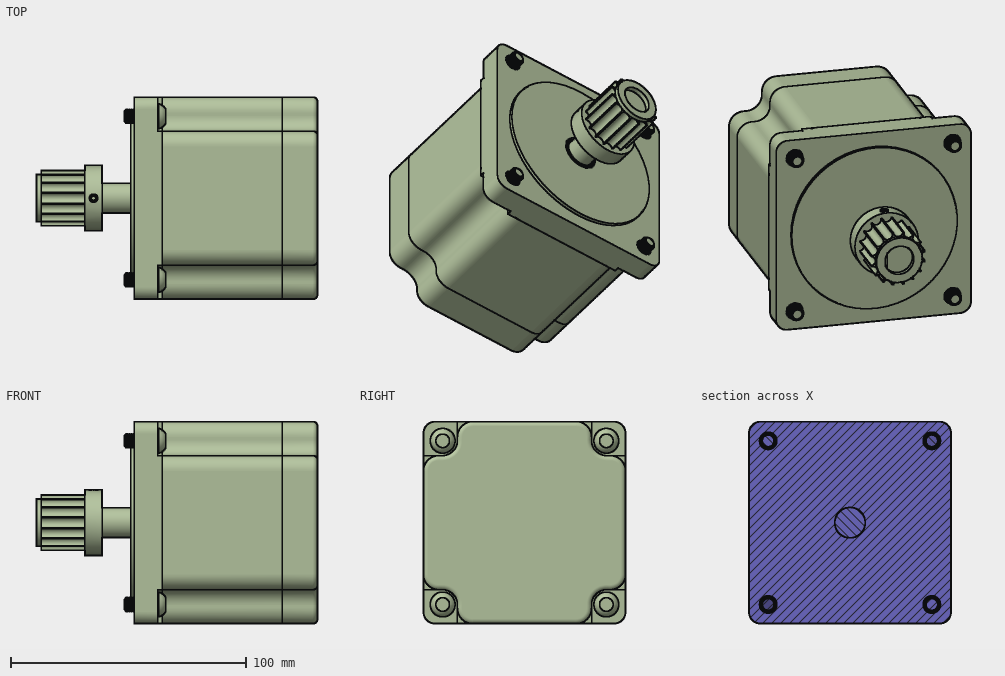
import cadquery as cq
import math


FRAME_WIDTH = 86.0
HALF_WIDTH = FRAME_WIDTH / 2
CORNER_RELIEF_RADIUS = 6.5
RELIEF_CENTRE = 35.0
RELIEF_INNER = RELIEF_CENTRE - CORNER_RELIEF_RADIUS
SHOULDER_RADIUS = 6.5
SHOULDER_END = HALF_WIDTH - SHOULDER_RADIUS
SHOULDER_START = RELIEF_INNER - SHOULDER_RADIUS

FLANGE_THICKNESS = 10.0
FLANGE_LIP = 2.0
FLANGE_BACK = FLANGE_THICKNESS + FLANGE_LIP
FLANGE_CORNER_RADIUS = 5.0
PILOT_DIAMETER = 73.0
PILOT_HEIGHT = 1.5
SHAFT_GROOVE_INNER_DIAMETER = 13.8
SHAFT_GROOVE_OUTER_DIAMETER = 15.5
SCREW_SPACING = 69.6
SCREW_HOLE_DIAMETER = 7.2

CAP_FRONT = 63.0
CAP_BACK = 78.0
CAP_FILLET = 2.0

SHAFT_DIAMETER = 12.7
SHAFT_TIP_RECESS = 2.3
SHAFT_FLAT_DISTANCE = 4.85
SHAFT_FLAT_LENGTH = 25.0

PULLEY_TIP = -41.6
PULLEY_LENGTH = 28.0
PULLEY_BACK = PULLEY_TIP + PULLEY_LENGTH
NOSE_DIAMETER = 20.2
NOSE_LENGTH = 2.0
HUB_DIAMETER = 28.0
HUB_LENGTH = 7.4
TOOTH_COUNT = 16
TOOTH_TIP_DIAMETER = 23.9
TOOTH_GROOVE_RADIUS = 2.1
TOOTH_GROOVE_CENTRE = 12.1
SHAFT_TIP = PULLEY_TIP + SHAFT_TIP_RECESS

SET_SCREW_DIAMETER = 3.5
SET_SCREW_TOP = HUB_DIAMETER / 2
SET_SCREW_CHAMFER = 0.4
SET_SCREW_SOCKET_SIZE = 1.8
SET_SCREW_SOCKET_DEPTH = 2.0

SCREW_DIAMETER = 6.0
SCREW_ROOT_DIAMETER = 4.9
SCREW_PITCH = 0.8
SCREW_PROTRUSION = 4.25
SCREW_TIP_CHAMFER = 0.35
HEAD_DIAMETER = 10.6
HEAD_FACE_DIAMETER = 5.8
HEAD_HEIGHT = 3.5
HEAD_RIM = 0.4
HEAD_DOME_RISE = 0.45


def disc(x_start, x_end, diameter):
    """Cylinder on the motor axis between two X positions."""
    return cq.Workplane("YZ", origin=(x_start, 0, 0)).circle(diameter / 2).extrude(x_end - x_start)


def frame_outline():
    """Square with rounded shoulders and a concave relief at each corner."""
    diagonal = math.cos(math.pi / 4)
    relief_middle = RELIEF_CENTRE - CORNER_RELIEF_RADIUS * diagonal
    shoulder_offset = SHOULDER_RADIUS * diagonal
    start = (HALF_WIDTH, SHOULDER_START)
    lower_mid = (SHOULDER_END + shoulder_offset, SHOULDER_START + shoulder_offset)
    lower_end = (SHOULDER_END, RELIEF_INNER)
    relief_start = (RELIEF_CENTRE, RELIEF_INNER)
    relief_mid = (relief_middle, relief_middle)

    def turned(point, quarter):
        for _ in range(quarter):
            point = (-point[1], point[0])
        return point

    def mirrored(point):
        return (point[1], point[0])

    outline = cq.Workplane("YZ").moveTo(*start)
    for quarter in range(4):
        if quarter:
            outline = outline.lineTo(*turned(start, quarter))
        outline = outline.threePointArc(turned(lower_mid, quarter), turned(lower_end, quarter))
        outline = outline.lineTo(*turned(relief_start, quarter))
        outline = outline.threePointArc(turned(relief_mid, quarter), turned(mirrored(relief_start), quarter))
        outline = outline.lineTo(*turned(mirrored(lower_end), quarter))
        outline = outline.threePointArc(
            turned(mirrored(lower_mid), quarter), turned(mirrored(start), quarter)
        )
    return outline.close()


def make_flange():
    plate = cq.Workplane("YZ").rect(FRAME_WIDTH, FRAME_WIDTH).extrude(FLANGE_BACK)
    plate = plate.edges("|X").fillet(FLANGE_CORNER_RADIUS)
    pocket_size = 2 * (HALF_WIDTH - RELIEF_INNER)
    pockets = (
        cq.Workplane("YZ", origin=(FLANGE_THICKNESS, 0, 0))
        .rarray(FRAME_WIDTH, FRAME_WIDTH, 2, 2)
        .rect(pocket_size, pocket_size)
        .extrude(FLANGE_LIP)
        .edges("|X")
        .fillet(CORNER_RELIEF_RADIUS)
    )
    plate = plate.cut(pockets)
    groove = disc(-PILOT_HEIGHT, 0, SHAFT_GROOVE_OUTER_DIAMETER).cut(
        disc(-PILOT_HEIGHT, 0, SHAFT_GROOVE_INNER_DIAMETER)
    )
    plate = plate.union(disc(-PILOT_HEIGHT, 0, PILOT_DIAMETER).cut(groove))
    holes = (
        cq.Workplane("YZ")
        .rect(SCREW_SPACING, SCREW_SPACING, forConstruction=True)
        .vertices()
        .circle(SCREW_HOLE_DIAMETER / 2)
        .extrude(FLANGE_THICKNESS)
    )
    return plate.cut(holes).cut(disc(-PILOT_HEIGHT, FLANGE_BACK, SHAFT_DIAMETER))


def make_stator():
    return frame_outline().extrude(CAP_FRONT - FLANGE_BACK).translate((FLANGE_BACK, 0, 0))


def make_rear_cap():
    cap = frame_outline().extrude(CAP_BACK - CAP_FRONT)
    return cap.faces(">X").edges().fillet(CAP_FILLET).translate((CAP_FRONT, 0, 0))


def make_shaft():
    shaft = disc(SHAFT_TIP, FLANGE_BACK, SHAFT_DIAMETER)
    flat = cq.Workplane("XY").box(
        SHAFT_FLAT_LENGTH, SHAFT_DIAMETER, SHAFT_DIAMETER, centered=(False, False, True)
    )
    return shaft.cut(flat.translate((SHAFT_TIP, SHAFT_FLAT_DISTANCE, 0)))


def radial_rod(top):
    """Upright rod in the middle of the hub, from the shaft surface up to `top`."""
    rod = (
        cq.Workplane("XY", origin=(PULLEY_BACK - HUB_LENGTH / 2, 0, 0))
        .circle(SET_SCREW_DIAMETER / 2)
        .extrude(top)
    )
    return rod.cut(disc(PULLEY_TIP, PULLEY_BACK, SHAFT_DIAMETER))


def make_pulley():
    hub_front = PULLEY_BACK - HUB_LENGTH
    teeth_front = PULLEY_TIP + NOSE_LENGTH
    toothed = disc(teeth_front, hub_front, TOOTH_TIP_DIAMETER)
    grooves = (
        cq.Workplane("YZ", origin=(teeth_front, 0, 0))
        .polarArray(TOOTH_GROOVE_CENTRE, 0, 360, TOOTH_COUNT)
        .circle(TOOTH_GROOVE_RADIUS)
        .extrude(hub_front - teeth_front)
    )
    pulley = (
        toothed.cut(grooves)
        .union(disc(PULLEY_TIP, teeth_front, NOSE_DIAMETER))
        .union(disc(hub_front, PULLEY_BACK, HUB_DIAMETER))
        .cut(disc(PULLEY_TIP, PULLEY_BACK, SHAFT_DIAMETER))
    )
    return pulley.cut(radial_rod(HUB_DIAMETER / 2))


def make_set_screw():
    socket = (
        cq.Workplane("XY", origin=(PULLEY_BACK - HUB_LENGTH / 2, 0, SET_SCREW_TOP))
        .polygon(6, SET_SCREW_SOCKET_SIZE, circumscribed=True)
        .extrude(-SET_SCREW_SOCKET_DEPTH)
    )
    return radial_rod(SET_SCREW_TOP).faces(">Z").edges().chamfer(SET_SCREW_CHAMFER).cut(socket)


def make_flange_screw(y, z):
    """Button-head screw with ring-shaped thread crests, its head against the flange pocket."""
    root = SCREW_ROOT_DIAMETER / 2
    crest = SCREW_DIAMETER / 2
    head = HEAD_DIAMETER / 2
    face = HEAD_FACE_DIAMETER / 2
    head_top = FLANGE_THICKNESS + HEAD_HEIGHT
    rim_top = FLANGE_THICKNESS + HEAD_RIM
    profile = (
        cq.Workplane("XY")
        .moveTo(-SCREW_PROTRUSION, 0)
        .lineTo(-SCREW_PROTRUSION, root - SCREW_TIP_CHAMFER)
        .lineTo(-SCREW_PROTRUSION + SCREW_TIP_CHAMFER, root)
    )
    thread_start = -SCREW_PROTRUSION + SCREW_PITCH / 2
    crest_count = int((FLANGE_THICKNESS - thread_start) / SCREW_PITCH)
    for index in range(crest_count):
        valley = thread_start + index * SCREW_PITCH
        profile = profile.lineTo(valley, root).lineTo(valley + SCREW_PITCH / 2, crest)
    profile = (
        profile.lineTo(thread_start + crest_count * SCREW_PITCH, root)
        .lineTo(FLANGE_THICKNESS, root)
        .lineTo(FLANGE_THICKNESS, head)
        .lineTo(rim_top, head)
        .sagittaArc((head_top, face), HEAD_DOME_RISE)
        .lineTo(head_top, 0)
        .close()
    )
    return profile.revolve(360, (0, 0, 0), (1, 0, 0)).translate((0, y, z))


flange = make_flange()
stator = make_stator()
rear_cap = make_rear_cap()
shaft = make_shaft()
pulley = make_pulley()
set_screw = make_set_screw()
flange_screws = [
    make_flange_screw(y_sign * SCREW_SPACING / 2, z_sign * SCREW_SPACING / 2)
    for y_sign in (-1, 1)
    for z_sign in (-1, 1)
]

result = cq.Compound.makeCompound(
    [
        flange.val(),
        stator.val(),
        rear_cap.val(),
        shaft.val(),
        pulley.val(),
        set_screw.val(),
        *[screw.val() for screw in flange_screws],
    ]
)